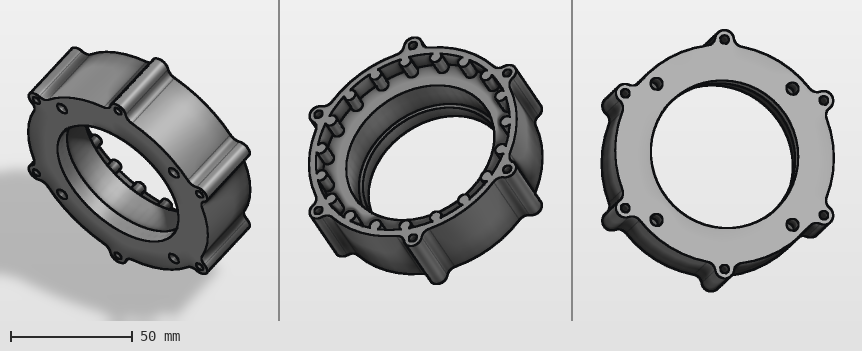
import cadquery as cq
import math

depth = 29.6
body_radius = 45.9

lobe_count = 6
lobe_pitch = 360 / lobe_count
first_lobe_angle = lobe_pitch / 2
lobe_radius = 4.0
outer_diameter = 104
lobe_circle_radius = outer_diameter / 2 - lobe_radius
lobe_hole_diameter = 3.5
lobe_fillet_radius = 4.0

lip_radius = 30.9
lip_depth = 6.7
middle_radius = 32.7
cavity_start = 21.1
cavity_radius = 42.7

pin_count = 19
pin_radius = 2.5
pin_circle_radius = 41.1
first_pin_angle = 180

blind_hole_spacing = 57.0
blind_hole_diameter = 5.0
blind_hole_depth = 10.4


def polar(radius, angle, center=(0, 0)):
    """Point at a radius and an angle in degrees around a center."""
    turn = math.radians(angle)
    return (center[0] + radius * math.cos(turn), center[1] + radius * math.sin(turn))


def face_plane(y):
    """Plane across the ring axis at position y, with local axes X and Z."""
    return cq.Workplane("XZ", origin=(0, y, 0))


def cylinder(radius, start, end):
    """Cylinder on the ring axis between two Y positions."""
    return face_plane(start).circle(radius).extrude(start - end)


def make_body():
    """Round body whose lobes blend into the rim through concave fillets."""
    to_fillet = body_radius + lobe_fillet_radius
    lobe_to_fillet = lobe_radius + lobe_fillet_radius
    cos_ring = (to_fillet**2 + lobe_circle_radius**2 - lobe_to_fillet**2) / (
        2 * to_fillet * lobe_circle_radius
    )
    ring_angle = math.degrees(math.acos(cos_ring))

    outline = face_plane(0).moveTo(*polar(body_radius, first_lobe_angle - ring_angle))
    for index in range(lobe_count):
        angle = first_lobe_angle + index * lobe_pitch
        lobe_center = polar(lobe_circle_radius, angle)
        fillet_ends = []
        for side in (-1, 1):
            fillet_center = polar(to_fillet, angle + side * ring_angle)
            on_body = polar(body_radius, angle + side * ring_angle)
            on_lobe = tuple(
                lobe + (fillet - lobe) * lobe_radius / lobe_to_fillet
                for lobe, fillet in zip(lobe_center, fillet_center)
            )
            chord_x = (on_body[0] + on_lobe[0]) / 2 - fillet_center[0]
            chord_y = (on_body[1] + on_lobe[1]) / 2 - fillet_center[1]
            bulge_angle = math.degrees(math.atan2(chord_y, chord_x))
            middle = polar(lobe_fillet_radius, bulge_angle, fillet_center)
            fillet_ends.append((on_body, middle, on_lobe))
        entry, leave = fillet_ends
        outline = (
            outline.threePointArc(entry[1], entry[2])
            .threePointArc(polar(lobe_circle_radius + lobe_radius, angle), leave[2])
            .threePointArc(leave[1], leave[0])
            .threePointArc(
                polar(body_radius, angle + lobe_pitch / 2),
                polar(body_radius, angle + lobe_pitch - ring_angle),
            )
        )
    return outline.close().extrude(-depth)


def make_pins():
    """Ring pins running from the cavity floor to the back face."""
    return (
        face_plane(cavity_start)
        .polarArray(pin_circle_radius, first_pin_angle, 360, pin_count)
        .circle(pin_radius)
        .extrude(cavity_start - depth)
    )


def make_lobe_holes():
    """Through holes at the lobe centers."""
    return (
        face_plane(0)
        .polarArray(lobe_circle_radius, first_lobe_angle, 360, lobe_count)
        .circle(lobe_hole_diameter / 2)
        .extrude(-depth)
    )


def make_blind_holes():
    """Blind holes sunk from the front face."""
    return (
        face_plane(0)
        .rect(blind_hole_spacing, blind_hole_spacing, forConstruction=True)
        .vertices()
        .circle(blind_hole_diameter / 2)
        .extrude(-blind_hole_depth)
    )


result = (
    make_body()
    .cut(cylinder(lip_radius, 0, lip_depth))
    .cut(cylinder(middle_radius, lip_depth, cavity_start))
    .cut(cylinder(cavity_radius, cavity_start, depth))
    .union(make_pins())
    .cut(make_lobe_holes())
    .cut(make_blind_holes())
)